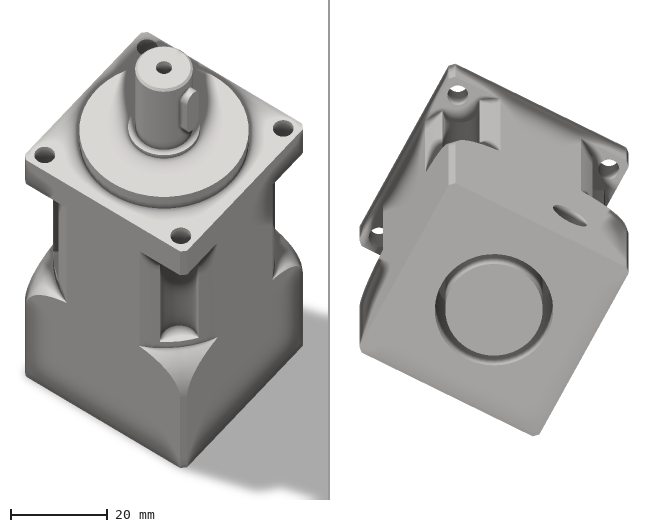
import cadquery as cq
import math

square_side = 42.0
corner_radius = 29.0
body_radius = 23.0

adapter_top = 35.0
ring_top = 59.0
flange_bottom = 65.0
flange_top = 73.0
pilot_top = 76.9
collar_top = 78.0
shaft_top = 98.0

shoulder_radius = 10.0
shoulder_start = 23.8
recess_radius = 12.25
hub_radius = 10.1
recess_depth = 24.0
access_hole_radius = 4.0
access_hole_y = -6.9
access_hole_z = 14.5

groove_radius = 4.0
groove_offset = 16.2
screw_hole_radius = 2.2
screw_hole_offset = 17.6

pilot_radius = 17.5
collar_radius = 7.4
shaft_radius = 6.0
shaft_chamfer = 0.5
center_hole_radius = 1.7
center_hole_depth = 9.8
drill_point_angle = 118.0
key_width = 4.0
key_length = 12.1
key_bottom = 82.9
key_outer_x = 7.4

CORNERS = [(1, 1), (-1, 1), (-1, -1), (1, -1)]


def square_prism(bottom, top):
    return cq.Workplane("XY").workplane(offset=bottom).rect(square_side, square_side).extrude(top - bottom)


def cylinder(radius, bottom, top):
    return cq.Workplane("XY").workplane(offset=bottom).circle(radius).extrude(top - bottom)


def corner_cylinders(radius, offset, bottom, top):
    centers = [(sx * offset, sy * offset) for sx, sy in CORNERS]
    return cq.Workplane("XY").workplane(offset=bottom).pushPoints(centers).circle(radius).extrude(top - bottom)


def grooved_body(bottom, top):
    """Square prism with turned corners and a screw groove down each corner."""
    body = square_prism(bottom, top).intersect(cylinder(body_radius, bottom, top))
    return body.cut(corner_cylinders(groove_radius, groove_offset, bottom, top))


def make_hub_recess():
    """Ring-shaped recess from below that leaves a round hub standing on the axis."""
    return cylinder(recess_radius, 0, recess_depth).cut(cylinder(hub_radius, 0, recess_depth))


def make_access_hole():
    """Offset hole from the -X face that ends where it breaks into the recess."""
    drilled = (
        cq.Workplane("YZ")
        .center(access_hole_y, access_hole_z)
        .circle(access_hole_radius)
        .extrude(-square_side / 2)
    )
    return drilled.cut(cylinder(recess_radius, 0, recess_depth))


def make_adapter():
    """Square base whose shoulders are rounded by a turned profile."""
    arc_center_r = corner_radius - shoulder_radius
    arc_end_angle = math.acos((body_radius - arc_center_r) / shoulder_radius)

    def arc_point(angle):
        return (
            arc_center_r + shoulder_radius * math.cos(angle),
            shoulder_start + shoulder_radius * math.sin(angle),
        )

    turned = (
        cq.Workplane("XZ")
        .lineTo(corner_radius, 0)
        .lineTo(corner_radius, shoulder_start)
        .threePointArc(arc_point(arc_end_angle / 2), arc_point(arc_end_angle))
        .lineTo(body_radius, adapter_top)
        .lineTo(0, adapter_top)
        .close()
        .revolve(360, (0, 0, 0), (0, 1, 0))
    )
    adapter = square_prism(0, adapter_top).intersect(turned)
    return adapter.cut(make_hub_recess()).cut(make_access_hole())


def make_key():
    """Round-ended key standing proud of the shaft on its +X side."""
    return (
        cq.Workplane("YZ")
        .center(0, key_bottom + key_length / 2)
        .slot2D(key_length, key_width, 90)
        .extrude(key_outer_x)
    )


def make_center_hole():
    """Blind hole in the shaft end with a conical drill point."""
    floor = shaft_top - center_hole_depth
    tip = floor - center_hole_radius / math.tan(math.radians(drill_point_angle / 2))
    return (
        cq.Workplane("XZ")
        .moveTo(0, tip)
        .lineTo(center_hole_radius, floor)
        .lineTo(center_hole_radius, shaft_top)
        .lineTo(0, shaft_top)
        .close()
        .revolve(360, (0, 0, 0), (0, 1, 0))
    )


def make_output_head():
    """Output flange in one piece with its pilot, collar, shaft and key."""
    flange = square_prism(flange_bottom, flange_top)
    flange = flange.intersect(cylinder(corner_radius, flange_bottom, flange_top))
    screw_holes = corner_cylinders(screw_hole_radius, screw_hole_offset, flange_bottom, flange_top)
    shaft = cylinder(shaft_radius, collar_top, shaft_top).faces(">Z").chamfer(shaft_chamfer)
    return (
        grooved_body(ring_top, flange_bottom)
        .union(flange.cut(screw_holes))
        .union(cylinder(pilot_radius, flange_top, pilot_top))
        .union(cylinder(collar_radius, pilot_top, collar_top))
        .union(shaft)
        .union(make_key())
        .cut(make_center_hole())
    )


adapter = make_adapter()
gear_ring = grooved_body(adapter_top, ring_top)
output_head = make_output_head()

result = cq.Compound.makeCompound([adapter.val(), gear_ring.val(), output_head.val()])